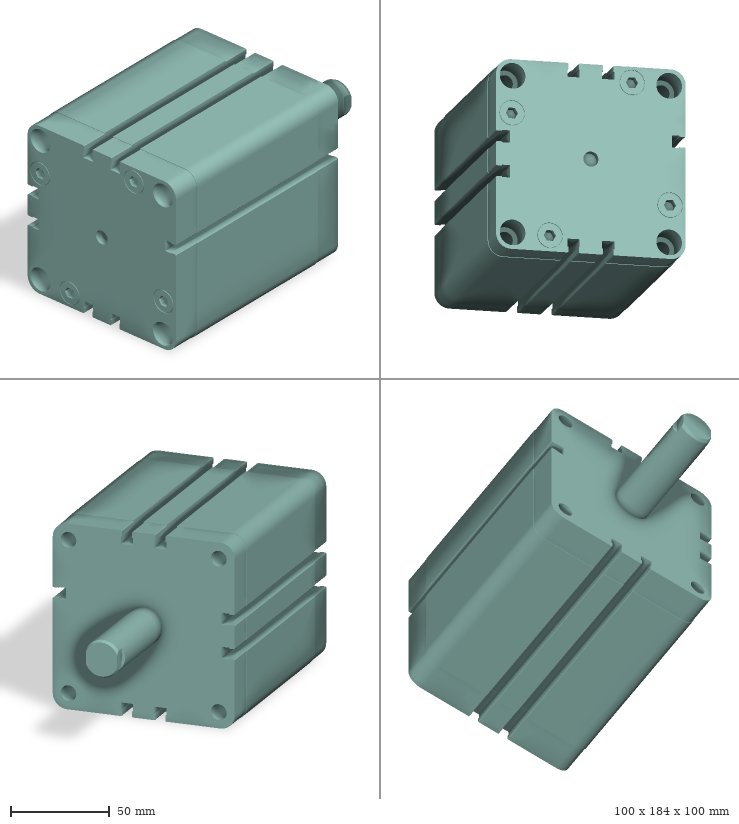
import cadquery as cq
import math

total_length = 184.0
rod_length = 58.0
cap_thickness = 16.0
block_length = total_length - rod_length
tube_length = block_length - 2 * cap_thickness

tube_size = 100.0
cap_size = 99.4
tube_corner_radius = 8.1
cap_corner_radius = tube_corner_radius - (tube_size - cap_size) / 2

slot_neck_width = 5.5
slot_channel_width = 6.5
slot_neck_depth = 3.5
cap_slot_depth = 7.5
tube_slot_depth = 8.0
slot_pair_spacing = 18.2
slot_pair_offset = slot_pair_spacing / 2
single_slot_offset = 12.0
slot_mouth_chamfer = 0.4
slot_overcut = 1.8

mount_offset = 41.0
mount_diameter = 8.5
mount_bore_diameter = 13.5
mount_bore_depth = cap_thickness

screw_along = 21.5
screw_across = 41.4
screw_recess_diameter = 13.5
screw_head_diameter = 12.5
screw_gap_depth = 0.5
socket_flats = 5.5
socket_depth = 4.6

center_hole_diameter = 8.0
center_hole_depth = 4.0

rod_diameter = 20.0
rod_embedding = 1.8
tip_chamfer_length = 1.8
tip_chamfer_height = 1.0
flat_spacing = 17.1
flat_length = 5.9


def front_plane(y):
    """Workplane facing -Y at the given y, with local axes equal to X and Z."""
    return cq.Workplane("XZ", origin=(0, y, 0))


def rounded_block(size, radius, y_start, length):
    return front_plane(y_start).rect(size, size).extrude(-length).edges("|Y").fillet(radius)


def slot_cutter(size, slot_depth, offset, angle, y_start, length, mouth_chamfer):
    """Slot in the +Z side of a square section, then turned about Y to another side."""
    face = size / 2
    floor = tube_size / 2 - slot_depth
    shoulder = tube_size / 2 - slot_neck_depth
    neck = slot_neck_width / 2
    channel = slot_channel_width / 2
    half_outline = [(channel, floor), (channel, shoulder), (neck, shoulder)]
    if mouth_chamfer > 0:
        half_outline.append((neck, face - mouth_chamfer))
        half_outline.append((neck + mouth_chamfer, face))
        half_outline.append((neck + mouth_chamfer, face + slot_overcut))
    else:
        half_outline.append((neck, face + slot_overcut))
    mirrored = [(-x, z) for x, z in reversed(half_outline)]
    outline = [(x + offset, z) for x, z in half_outline + mirrored]
    cutter = front_plane(y_start).polyline(outline).close().extrude(-length)
    return cutter.rotate((0, 0, 0), (0, 1, 0), angle)


slots = [
    (0, -slot_pair_offset),
    (0, slot_pair_offset),
    (180, -slot_pair_offset),
    (180, slot_pair_offset),
    (-90, -slot_pair_offset),
    (-90, slot_pair_offset),
    (90, -single_slot_offset),
]


def slotted_block(size, radius, slot_depth, y_start, length, chamfered_sides):
    block = rounded_block(size, radius, y_start, length)
    for angle, offset in slots:
        chamfer = slot_mouth_chamfer if angle in chamfered_sides else 0
        block = block.cut(slot_cutter(size, slot_depth, offset, angle, y_start, length, chamfer))
    return block


chamfered_cap_sides = (0, 180, -90, 90)
chamfered_tube_sides = (180, -90, 90)


def end_cap(y_start):
    return slotted_block(
        cap_size, cap_corner_radius, cap_slot_depth, y_start, cap_thickness, chamfered_cap_sides
    )


tube = slotted_block(
    tube_size, tube_corner_radius, tube_slot_depth, cap_thickness, tube_length, chamfered_tube_sides
)
body = end_cap(0).union(tube).union(end_cap(cap_thickness + tube_length))


def piston_rod():
    radius = rod_diameter / 2
    rod_root = block_length - rod_embedding
    profile = [
        (0, rod_root),
        (radius, rod_root),
        (radius, total_length - tip_chamfer_length),
        (radius - tip_chamfer_height, total_length),
        (0, total_length),
    ]
    rod = cq.Workplane("XY").polyline(profile).close().revolve(360, (0, 0, 0), (0, 1, 0))
    runout = radius - flat_spacing / 2
    flat_end = total_length - flat_length
    flat_outline = [
        (flat_spacing / 2, total_length),
        (flat_spacing / 2, flat_end),
        (radius, flat_end - runout),
        (radius, total_length),
    ]
    flat = cq.Workplane("XY").polyline(flat_outline).close().extrude(radius, both=True)
    return rod.cut(flat).cut(flat.mirror("YZ"))


def mounting_holes():
    corners = front_plane(0).rect(2 * mount_offset, 2 * mount_offset, forConstruction=True).vertices()
    through = corners.circle(mount_diameter / 2).extrude(-block_length)
    bores = corners.circle(mount_bore_diameter / 2).extrude(-mount_bore_depth)
    return through.union(bores)


def screw_recess(x, z):
    """Ring-shaped gap around a flush screw head plus its hexagon socket."""
    center = front_plane(0).center(x, z)
    rings = center.circle(screw_recess_diameter / 2).circle(screw_head_diameter / 2)
    gap = rings.extrude(-screw_gap_depth)
    socket_corner_diameter = socket_flats / math.cos(math.pi / 6)
    socket = center.polygon(6, socket_corner_diameter).extrude(-socket_depth)
    return gap.union(socket)


body = body.cut(mounting_holes())
body = body.cut(front_plane(0).circle(center_hole_diameter / 2).extrude(-center_hole_depth))
screw_x, screw_z = screw_along, screw_across
for _ in range(4):
    body = body.cut(screw_recess(screw_x, screw_z))
    screw_x, screw_z = -screw_z, screw_x

result = body.union(piston_rod())